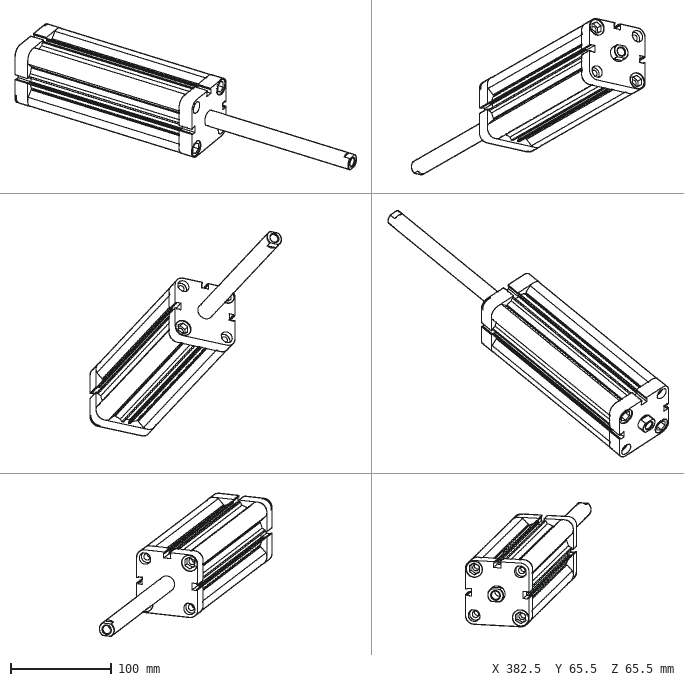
import cadquery as cq
import math

TOTAL_LENGTH = 382.5
ROD_LEFT_OVERHANG = 7.5
CAP_LENGTH = 15.0
TUBE_LENGTH = 177.0
LEFT_CAP_X = ROD_LEFT_OVERHANG
TUBE_X = LEFT_CAP_X + CAP_LENGTH
RIGHT_CAP_X = TUBE_X + TUBE_LENGTH

SECTION = 65.5
HALF_SECTION = SECTION / 2

SLOT_WIDTH = 5.7
SLOT_DEPTH = 6.0
CHANNEL_WIDTH = 7.3
LIP_THICKNESS = 1.5

SCREW_SPACING = 47.5
SCREW_OFFSET = SCREW_SPACING / 2
CORNER_RADIUS = HALF_SECTION - SCREW_OFFSET
SCREW_HOLE_DIAMETER = 6.5
COUNTERBORE_DIAMETER = 12.0
COUNTERBORE_DEPTH = 5.7
RECESS_DIAMETER = 16.5
RECESS_DEPTH = 1.0
SOCKET_FLATS = 10.5
SOCKET_DEPTH = 7.5
HEX_HALF_ANGLE = 30.0

BARREL_RADIUS = 28.3
LOBE_RADIUS = 9.5
LOBE_EDGE = 19.0
GROOVE_CENTER = 12.5
GROOVE_WIDTH = 1.5
GROOVE_FLOOR = 24.5
RAIL_FOOT_WIDTH = 12.2
RAIL_TOP_WIDTH = 9.0
RAIL_TOP = 30.5

ROD_DIAMETER = 16.0
ROD_FLAT_SPACING = 13.0
ROD_FLAT_LENGTH = 7.0
ROD_CHAMFER = 0.5
ROD_HOLE_DIAMETER = 8.5
ROD_HOLE_DEPTH = 15.3
ROD_COUNTERSINK_DIAMETER = 10.0
DRILL_POINT_ANGLE = 118.0


def corner_points():
    """Return the (y, z) positions of the four corner screws."""
    return [(sy * SCREW_OFFSET, sz * SCREW_OFFSET) for sy in (-1, 1) for sz in (-1, 1)]


def cylinder_x(diameter, x_start, length, y=0.0, z=0.0):
    """Return a cylinder that runs along +X from x_start."""
    plane = cq.Workplane("YZ", origin=(x_start, y, z))
    return plane.circle(diameter / 2).extrude(length)


def slab(x_start, length, width, height, z_start):
    """Return a block centred on Y that starts at x_start and rises from z_start."""
    block = cq.Workplane("XY").box(length, width, height, centered=(False, True, False))
    return block.translate((x_start, 0, z_start))


def side_slot(x_start, length, top, angle):
    """Return the cutter for the T-slot in a +Z side at height top, turned by angle about X."""
    floor = HALF_SECTION - SLOT_DEPTH
    mouth = slab(x_start, length, SLOT_WIDTH, SLOT_DEPTH, floor)
    channel = slab(x_start, length, CHANNEL_WIDTH, top - LIP_THICKNESS - floor, floor)
    return mouth.union(channel).rotate((0, 0, 0), (1, 0, 0), angle)


def hex_socket(y, z):
    """Return the cutter for a hexagonal socket with two of its flats facing +Y and -Y."""
    across_corners = SOCKET_FLATS / math.cos(math.radians(HEX_HALF_ANGLE))
    socket = cq.Workplane("YZ").polygon(6, across_corners).extrude(SOCKET_DEPTH)
    return socket.rotate((0, 0, 0), (1, 0, 0), HEX_HALF_ANGLE).translate((0, y, z))


def make_cap():
    """Return the left end cap with its outer face on X = 0."""
    cap = cq.Workplane("YZ").rect(SECTION, SECTION).extrude(CAP_LENGTH)
    cap = cap.edges("|X").fillet(CORNER_RADIUS)
    cap = cap.cut(cylinder_x(ROD_DIAMETER, 0, CAP_LENGTH))
    for angle in (-90, 0, 90):
        cap = cap.cut(side_slot(0, CAP_LENGTH, HALF_SECTION, angle))
    for y, z in corner_points():
        cap = cap.cut(cylinder_x(SCREW_HOLE_DIAMETER, 0, CAP_LENGTH, y, z))
        if y * z > 0:
            cap = cap.cut(cylinder_x(RECESS_DIAMETER, 0, RECESS_DEPTH, y, z))
            cap = cap.cut(hex_socket(y, z))
        else:
            cap = cap.cut(cylinder_x(COUNTERBORE_DIAMETER, 0, COUNTERBORE_DEPTH, y, z))
    return cap


def tube_lobe(y_side, z_side):
    """Return the lobe of one corner: a round end on a neck with 45 degree sides."""
    center = HALF_SECTION - LOBE_RADIUS
    edge_height = center + math.sqrt(LOBE_RADIUS**2 - (center - LOBE_EDGE) ** 2)
    neck_root = edge_height - LOBE_EDGE
    crown = center + LOBE_RADIUS * math.sqrt(0.5)
    outline = cq.Workplane("YZ", origin=(TUBE_X, 0, 0)).lineTo(neck_root * y_side, 0)
    outline = outline.lineTo(edge_height * y_side, LOBE_EDGE * z_side)
    outline = outline.threePointArc(
        (crown * y_side, crown * z_side), (LOBE_EDGE * y_side, edge_height * z_side)
    )
    return outline.lineTo(0, neck_root * z_side).close().extrude(TUBE_LENGTH)


def tube_rail(angle):
    """Return the tapered rail of the +Z side, turned by angle about the X axis."""
    foot = math.sqrt(BARREL_RADIUS**2 - (RAIL_FOOT_WIDTH / 2) ** 2)
    outline = [
        (-RAIL_FOOT_WIDTH / 2, 0),
        (-RAIL_FOOT_WIDTH / 2, foot),
        (-RAIL_TOP_WIDTH / 2, RAIL_TOP),
        (RAIL_TOP_WIDTH / 2, RAIL_TOP),
        (RAIL_FOOT_WIDTH / 2, foot),
        (RAIL_FOOT_WIDTH / 2, 0),
    ]
    rail = cq.Workplane("YZ", origin=(TUBE_X, 0, 0)).polyline(outline).close().extrude(TUBE_LENGTH)
    return rail.rotate((0, 0, 0), (1, 0, 0), angle)


def tube_groove(y, angle):
    """Return the cutter for a narrow groove between barrel and lobe, turned by angle about X."""
    depth = HALF_SECTION - GROOVE_FLOOR
    groove = slab(TUBE_X, TUBE_LENGTH, GROOVE_WIDTH, depth, GROOVE_FLOOR).translate((0, y, 0))
    return groove.rotate((0, 0, 0), (1, 0, 0), angle)


def make_tube():
    """Return the extruded tube between the caps."""
    tube = cylinder_x(2 * BARREL_RADIUS, TUBE_X, TUBE_LENGTH)
    for y_side in (-1, 1):
        for z_side in (-1, 1):
            tube = tube.union(tube_lobe(y_side, z_side))
    for angle in (0, 90, 180, 270):
        tube = tube.union(tube_rail(angle))
        tube = tube.cut(side_slot(TUBE_X, TUBE_LENGTH, RAIL_TOP, angle))
        for y in (-GROOVE_CENTER, GROOVE_CENTER):
            tube = tube.cut(tube_groove(y, angle))
    for y, z in corner_points():
        tube = tube.cut(cylinder_x(SCREW_HOLE_DIAMETER, TUBE_X, TUBE_LENGTH, y, z))
    return tube.cut(cylinder_x(ROD_DIAMETER, TUBE_X, TUBE_LENGTH))


def rod_flats(x_start, length):
    """Return the cutter that leaves two flats, facing +Z and -Z, on the rod."""
    stock = slab(x_start, length, ROD_DIAMETER, ROD_DIAMETER, -ROD_DIAMETER / 2)
    core = slab(x_start, length, ROD_DIAMETER, ROD_FLAT_SPACING, -ROD_FLAT_SPACING / 2)
    return stock.cut(core)


def rod_end_hole():
    """Return the cutter for the drilled hole, with its countersink, in the left end of the rod."""
    radius = ROD_HOLE_DIAMETER / 2
    tip = ROD_HOLE_DEPTH + radius / math.tan(math.radians(DRILL_POINT_ANGLE / 2))
    mouth_radius = ROD_COUNTERSINK_DIAMETER / 2
    countersink_depth = mouth_radius - radius
    half_section = [
        (0, 0),
        (0, mouth_radius),
        (countersink_depth, radius),
        (ROD_HOLE_DEPTH, radius),
        (tip, 0),
    ]
    return cq.Workplane("XY").polyline(half_section).close().revolve(360, (0, 0, 0), (1, 0, 0))


def make_rod():
    """Return the rod that runs through both caps and the tube."""
    rod = cylinder_x(ROD_DIAMETER, 0, TOTAL_LENGTH)
    rod = rod.faces("<X or >X").chamfer(ROD_CHAMFER)
    rod = rod.cut(rod_flats(0, ROD_FLAT_LENGTH))
    rod = rod.cut(rod_flats(TOTAL_LENGTH - ROD_FLAT_LENGTH, ROD_FLAT_LENGTH))
    left_hole = rod_end_hole()
    right_hole = left_hole.mirror("YZ").translate((TOTAL_LENGTH, 0, 0))
    return rod.cut(left_hole).cut(right_hole)


cap = make_cap()
left_cap = cap.translate((LEFT_CAP_X, 0, 0))
right_cap = cap.mirror("YZ").translate((RIGHT_CAP_X + CAP_LENGTH, 0, 0))
tube = make_tube()
rod = make_rod()

result = cq.Compound.makeCompound([left_cap.val(), right_cap.val(), tube.val(), rod.val()])